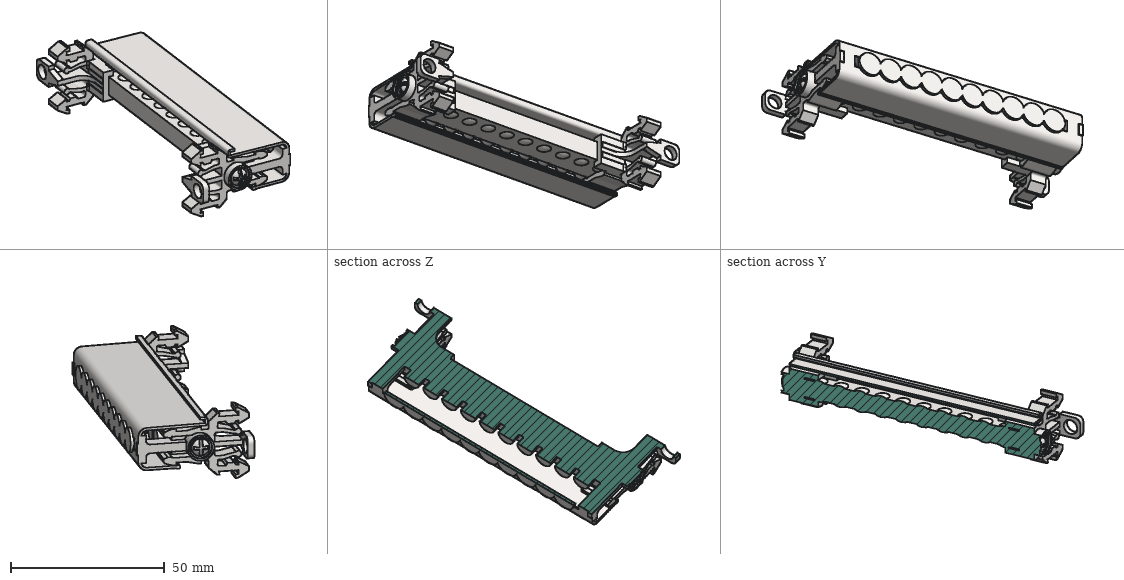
import cadquery as cq
import math

LENGTH = 106.7
DEPTH = 38.0
HEIGHT = 24.0

COVER_HALF = 45.7
COVER_REAR = 37.0
COVER_WALL = 1.0
COVER_HALF_HEIGHT = 7.3
COVER_RADIUS = 2.9
COVER_SLOT_HALF = 2.0
SLOT_CHAMFER = 0.5
TOP_WALL_RISE = 0.2
CURL_FRONT_Y = 13.9
CURL_HEIGHT = 2.9
CURL_RADIUS = 1.0
CURL_WALL = 0.9
CURL_TIP_Y = 16.3
LOWER_LIP_Y = 23.0
LOWER_LIP_BEVEL = 0.3
LOWER_LIP_WIDTH = 1.5
LOWER_LIP_DROP = 0.2

LENS_COUNT = 10
LENS_PITCH = 7.7
LENS_RADIUS = 4.1
LENS_SEAT = 36.8
DOME_RADIUS = LENS_RADIUS
DOME_Y = 17.9
BARREL_RADIUS = 3.0
BARREL_REAR = 28.6

BAR_HALF_HEIGHT = 3.3
BAR_FRONT = 13.5
BAR_REAR = 25.3

NUB_WIDTH = 1.5
WEB_HALF = 1.5
WEB_FILLET = 1.4
WEB_FRONT = 20.3
FLANGE_FRONT = 34.5
FLANGE_HALF = 4.7
NUB_REAR = 37.4

CLIP_WIDTH = 5.8
CLIP_FRONT = 11.5
CLIP_REAR = 14.9
ARM_WIDTH = 10.9
ARM_OUTER = 5.3
THROAT_RADIUS = 0.6
ARM_INNER = 3.6
LEAF_BALL_Y = 3.6
LEAF_BALL_Z = 3.8
LEAF_BALL_RADIUS = 1.1

BOX_END = 30.1
BOX_HALF_HEIGHT = 5.3
BOX_REAR = 15.3
BOX_RAMP_LENGTH = 0.9
BOX_RAMP_HEIGHT = 0.5
GROOVE_END = 30.6
GROOVE_INNER = 0.9
GROOVE_OUTER = 2.8
GROOVE_DEPTH = 0.2

LUG_THICKNESS = 2.2
LUG_HALF = 3.7
LUG_CORNER = 2.0
LUG_HOLE_INSET = 3.6
LUG_HOLE_RADIUS = 2.5
LUG_NECK_HALF = 2.3
LUG_WEB_HALF = 0.9
GUSSET_RADIUS = 4.8

SCREW_Y = 16.7
SCREW_RADIUS = 4.4
SCREW_HEIGHT = 2.9
SCREW_RIM = 0.69
SCREW_DOME_BASE_RADIUS = 3.0
SCREW_RECESS = 0.7
SCREW_DOME_RISE = 0.6
CROSS_UPRIGHT = 6.0
CROSS_ARM = 4.7
CROSS_SLOT = 1.1
CROSS_DEPTH = 1.1

half_length = LENGTH / 2
half_height = HEIGHT / 2
clip_inner_x = CLIP_WIDTH - COVER_HALF


def block(x0, x1, y0, y1, z0, z1):
    """Box between opposite corners."""
    return cq.Workplane("XY").box(x1 - x0, y1 - y0, z1 - z0, centered=False).translate((x0, y0, z0))


def profile_at(x):
    """Sketch plane at x, with Y and Z as its axes."""
    return cq.Workplane("YZ", origin=(x, 0, 0))


def rod(x, y, z, radius, length):
    """Cylinder starting at x and running along +X."""
    return profile_at(x).center(y, z).circle(radius).extrude(length)


def with_mirror(shape, plane):
    return shape.union(shape.mirror(plane))


def lens_positions():
    first = -LENS_PITCH * (LENS_COUNT - 1) / 2
    return [first + LENS_PITCH * i for i in range(LENS_COUNT)]


def make_cover():
    rear_inner = COVER_REAR - COVER_WALL
    top_inner = COVER_HALF_HEIGHT - COVER_WALL
    corner_y = COVER_REAR - COVER_RADIUS
    corner_z = COVER_HALF_HEIGHT - COVER_RADIUS
    inner_radius = COVER_RADIUS - COVER_WALL
    diagonal = math.sqrt(0.5)
    outer_arc = (corner_y + COVER_RADIUS * diagonal, corner_z + COVER_RADIUS * diagonal)
    inner_arc = (corner_y + inner_radius * diagonal, corner_z + inner_radius * diagonal)

    def wall(front, outer_end, inner_end):
        """One half of the sheet, from its front edge round the rear corner to the lens slot."""
        return (
            profile_at(-COVER_HALF)
            .moveTo(front, outer_end)
            .lineTo(corner_y, COVER_HALF_HEIGHT)
            .threePointArc(outer_arc, (COVER_REAR, corner_z))
            .lineTo(COVER_REAR, COVER_SLOT_HALF)
            .lineTo(rear_inner + SLOT_CHAMFER, COVER_SLOT_HALF)
            .lineTo(rear_inner, COVER_SLOT_HALF + 2 * SLOT_CHAMFER)
            .lineTo(rear_inner, corner_z)
            .threePointArc(inner_arc, (corner_y, top_inner))
            .lineTo(front, inner_end)
            .close()
            .extrude(2 * COVER_HALF)
        )

    curl_base = COVER_HALF_HEIGHT + TOP_WALL_RISE - CURL_WALL
    curl_middle_z = curl_base + CURL_HEIGHT / 2
    curl = (
        profile_at(-COVER_HALF)
        .center((CURL_FRONT_Y + CURL_TIP_Y) / 2, curl_middle_z)
        .rect(CURL_TIP_Y - CURL_FRONT_Y, CURL_HEIGHT)
        .extrude(2 * COVER_HALF)
        .edges("|X and <Y")
        .fillet(CURL_RADIUS)
    )
    hollow_half = CURL_HEIGHT / 2 - CURL_WALL
    hollow = block(
        -COVER_HALF, COVER_HALF, CURL_FRONT_Y + CURL_WALL, CURL_TIP_Y,
        curl_middle_z - hollow_half, curl_middle_z + hollow_half,
    )
    curl = curl.cut(hollow)
    upper = wall(CURL_TIP_Y, curl_base + CURL_WALL, curl_base)

    lip_top = -top_inner
    lip_bottom = -COVER_HALF_HEIGHT - LOWER_LIP_DROP
    lip_rear = LOWER_LIP_Y + LOWER_LIP_WIDTH
    lip_start = LOWER_LIP_Y + LOWER_LIP_BEVEL
    lower = wall(lip_start, COVER_HALF_HEIGHT, top_inner).mirror("XY")
    lip = (
        profile_at(-COVER_HALF)
        .moveTo(lip_rear, lip_top)
        .lineTo(lip_start, lip_top)
        .lineTo(LOWER_LIP_Y, lip_top - LOWER_LIP_BEVEL)
        .lineTo(LOWER_LIP_Y, lip_bottom + LOWER_LIP_BEVEL)
        .lineTo(lip_start, lip_bottom)
        .lineTo(lip_rear - LOWER_LIP_BEVEL, lip_bottom)
        .lineTo(lip_rear, -COVER_HALF_HEIGHT)
        .close()
        .extrude(2 * COVER_HALF)
    )
    return upper.union(curl).union(lower).union(lip)


def lens_cylinder(x, rear, radius, length):
    """Cylinder along Y, running forward from its rear face."""
    return cq.Workplane("XZ", origin=(x, rear, 0)).circle(radius).extrude(length)


def make_lenses():
    """Overlapping lens caps seated over the cover slot, and the barrels and domes of the light bar."""
    lenses = cq.Workplane("XY")
    for x in lens_positions():
        cap = lens_cylinder(x, DEPTH, LENS_RADIUS, DEPTH - LENS_SEAT)
        barrel = lens_cylinder(x, BARREL_REAR, BARREL_RADIUS, BARREL_REAR - DOME_Y)
        dome = cq.Workplane("XY").sphere(DOME_RADIUS).translate((x, DOME_Y, 0))
        lenses = lenses.union(cap).union(barrel).union(dome)
    return lenses


def make_light_bar():
    half = COVER_HALF - CLIP_WIDTH / 2
    return block(-half, half, BAR_FRONT, BAR_REAR, -BAR_HALF_HEIGHT, BAR_HALF_HEIGHT)


def make_end_plate():
    flange_rear = COVER_REAR - COVER_WALL
    bend = WEB_FILLET * (1 - math.sqrt(0.5))
    half = (
        profile_at(-COVER_HALF)
        .moveTo(WEB_FRONT, 0)
        .lineTo(WEB_FRONT, WEB_HALF)
        .lineTo(FLANGE_FRONT - WEB_FILLET, WEB_HALF)
        .threePointArc((FLANGE_FRONT - bend, WEB_HALF + bend), (FLANGE_FRONT, WEB_HALF + WEB_FILLET))
        .lineTo(FLANGE_FRONT, FLANGE_HALF)
        .lineTo(flange_rear, FLANGE_HALF)
        .lineTo(flange_rear, COVER_SLOT_HALF + 2 * SLOT_CHAMFER)
        .lineTo(flange_rear + SLOT_CHAMFER, COVER_SLOT_HALF)
        .lineTo(COVER_REAR, COVER_SLOT_HALF)
        .lineTo(COVER_REAR, 0)
        .close()
        .extrude(CLIP_WIDTH)
    )
    hub = rod(-COVER_HALF, SCREW_Y, 0, SCREW_RADIUS, CLIP_WIDTH)
    nub = block(
        -COVER_HALF, NUB_WIDTH - COVER_HALF, FLANGE_FRONT, NUB_REAR, -COVER_SLOT_HALF, COVER_SLOT_HALF
    )
    return with_mirror(half, "XY").union(hub).union(nub)


def make_clip():
    """Feet, leaves and arms: each outline is given above Z = 0 and mirrored below."""
    leaf_root = (CLIP_FRONT, 4.0)
    throat_bottom = (10.6, ARM_OUTER)
    throat_top = (10.6, 7.5)
    shoulder_root = (13.4, ARM_OUTER)
    foot_and_leaf = [
        (CLIP_FRONT, 0), leaf_root,
        (8.7, 4.0), (4.7, 3.1), (LEAF_BALL_Y, 3.2), (LEAF_BALL_Y, 4.5), (5.1, 4.4), (8.7, ARM_OUTER),
        throat_bottom, throat_top,
        (7.8, 7.5), (7.3, 6.6), (4.9, 6.6), (4.4, 7.5), (3.5, 7.5), (3.5, 6.5), (3.1, 6.6),
        (0, 8.3), (0, 9.8), (3.7, half_height), (4.6, half_height), (4.6, 10.7), (3.5, 10.7),
        (3.5, 9.4), (10.0, 9.4), (9.9, 10.5), (10.8, 10.5), (13.4, 8.0),
        shoulder_root, (CLIP_REAR, ARM_OUTER), (CLIP_REAR, 0),
    ]
    arm = [
        (12.8, ARM_INNER), (12.8, ARM_OUTER),
        (16.0, ARM_OUTER), (16.0, 6.2), (17.1, 6.2), (20.9, ARM_OUTER),
        (24.3, ARM_OUTER), (24.3, 6.2), (25.9, 6.2), (28.2, ARM_OUTER), (28.6, 4.9), (28.6, 3.8),
        (27.2, 3.3), (25.8, 3.3), (25.6, ARM_INNER),
    ]
    half = profile_at(-COVER_HALF).polyline(foot_and_leaf).close().extrude(CLIP_WIDTH)
    middle_x = CLIP_WIDTH / 2 - COVER_HALF
    for y, z in (leaf_root, throat_bottom, throat_top, shoulder_root):
        corner = cq.selectors.NearestToPointSelector((middle_x, y, z))
        half = half.edges(corner).fillet(THROAT_RADIUS)
    half = half.union(profile_at(-COVER_HALF).polyline(arm).close().extrude(ARM_WIDTH))
    half = half.union(rod(-COVER_HALF, LEAF_BALL_Y, LEAF_BALL_Z, LEAF_BALL_RADIUS, CLIP_WIDTH))
    return with_mirror(half, "XY")


def make_socket_box():
    box = block(clip_inner_x, -BOX_END, CLIP_FRONT, BOX_REAR, -BOX_HALF_HEIGHT, BOX_HALF_HEIGHT)
    ramp = (
        cq.Workplane("XY", origin=(0, 0, GROOVE_OUTER))
        .moveTo(clip_inner_x, CLIP_FRONT)
        .lineTo(clip_inner_x, CLIP_FRONT - BOX_RAMP_HEIGHT)
        .lineTo(clip_inner_x + BOX_RAMP_LENGTH, CLIP_FRONT)
        .close()
        .extrude(BOX_HALF_HEIGHT - GROOVE_OUTER)
    )
    groove = block(
        clip_inner_x, -GROOVE_END, CLIP_FRONT, CLIP_FRONT + GROOVE_DEPTH, GROOVE_INNER, GROOVE_OUTER
    )
    return box.cut(with_mirror(groove, "XY")).union(with_mirror(ramp, "XY"))


def make_lug():
    hole_x = LUG_HOLE_INSET - half_length
    outline = [
        (-half_length, -LUG_HALF), (-COVER_HALF, -LUG_HALF), (-COVER_HALF, -LUG_NECK_HALF),
        (clip_inner_x, -LUG_WEB_HALF), (clip_inner_x, LUG_WEB_HALF), (-COVER_HALF, LUG_NECK_HALF),
        (-COVER_HALF, LUG_HALF), (-half_length, LUG_HALF),
    ]
    plate = cq.Workplane("XZ").polyline(outline).close().extrude(-LUG_THICKNESS)
    plate = plate.edges("|Y and <X").fillet(LUG_CORNER)
    hole = cq.Workplane("XZ").center(hole_x, 0).circle(LUG_HOLE_RADIUS).extrude(-LUG_THICKNESS)
    web = block(-COVER_HALF, clip_inner_x, 0, CLIP_FRONT, -LUG_WEB_HALF, LUG_WEB_HALF)
    bend = GUSSET_RADIUS * (1 - math.sqrt(0.5))
    gusset = (
        cq.Workplane("XY", origin=(0, 0, -LUG_WEB_HALF))
        .moveTo(clip_inner_x, CLIP_FRONT)
        .lineTo(clip_inner_x, CLIP_FRONT - GUSSET_RADIUS)
        .threePointArc((clip_inner_x + bend, CLIP_FRONT - bend), (clip_inner_x + GUSSET_RADIUS, CLIP_FRONT))
        .close()
        .extrude(2 * LUG_WEB_HALF)
    )
    return plate.cut(hole).union(web).union(gusset)


def make_screw():
    """Head with a raised rim around a domed, cross-slotted centre."""
    floor = SCREW_HEIGHT - SCREW_RECESS
    top = SCREW_HEIGHT + SCREW_DOME_RISE
    rise = top - floor
    sphere_radius = (SCREW_DOME_BASE_RADIUS**2 + rise**2) / (2 * rise)
    mid_radius = SCREW_DOME_BASE_RADIUS / 2
    mid_height = top - sphere_radius + math.sqrt(sphere_radius**2 - mid_radius**2)
    head = (
        cq.Workplane("XY")
        .moveTo(0, 0)
        .lineTo(SCREW_RADIUS, 0)
        .lineTo(SCREW_RADIUS, SCREW_HEIGHT)
        .lineTo(SCREW_RADIUS - SCREW_RIM, SCREW_HEIGHT)
        .lineTo(SCREW_RADIUS - SCREW_RIM, floor)
        .lineTo(SCREW_DOME_BASE_RADIUS, floor)
        .threePointArc((mid_radius, mid_height), (0, top))
        .close()
        .revolve(360, (0, 0, 0), (0, 1, 0))
        .rotate((0, 0, 0), (0, 0, 1), 90)
        .translate((-COVER_HALF, SCREW_Y, 0))
    )
    cross_plane = profile_at(-COVER_HALF - top).center(SCREW_Y, 0)
    upright = cross_plane.rect(CROSS_SLOT, CROSS_UPRIGHT).extrude(CROSS_DEPTH)
    crossbar = cross_plane.rect(CROSS_ARM, CROSS_SLOT).extrude(CROSS_DEPTH)
    return head.cut(upright).cut(crossbar)


end = make_end_plate()
for piece in (make_clip(), make_socket_box(), make_lug(), make_screw()):
    end = end.union(piece)

result = make_cover().union(make_light_bar()).union(make_lenses())
result = result.union(end).union(end.mirror("YZ"))